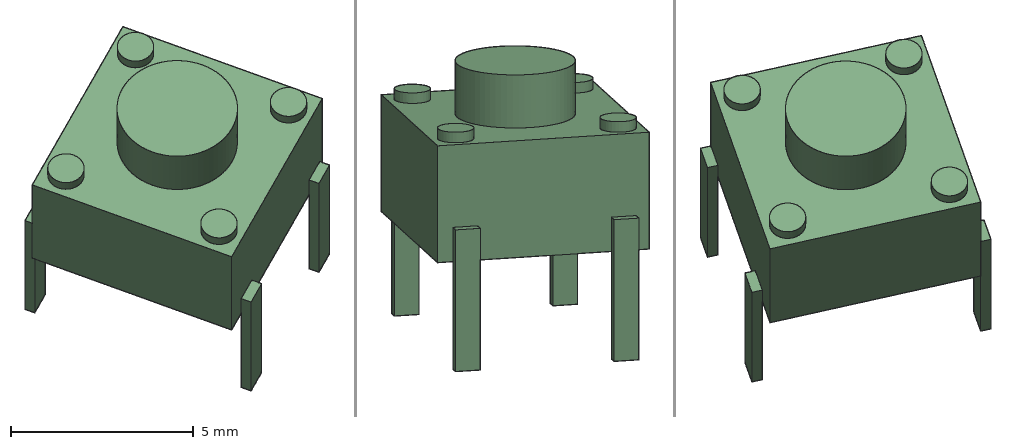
import cadquery as cq


housing_side = 6.0
housing_height = 3.0
cover_thickness = 0.3
cover_top = housing_height + cover_thickness

button_diameter = 3.3
button_height = 1.5
button_sides = 64
stud_diameter = 1.0
stud_height = 0.3
stud_sides = 32
stud_offset = 2.3

leg_span = 6.8
leg_thickness = 0.3
leg_width = 0.7
leg_length = 4.0
leg_drop = 3.0
leg_x = (leg_span - leg_thickness) / 2
leg_y = 2.25

corners = [(-1, -1), (1, -1), (1, 1), (-1, 1)]


def make_slab(thickness, base_z):
    """Square slab over the full housing outline."""
    return (
        cq.Workplane("XY", origin=(0, 0, base_z))
        .rect(housing_side, housing_side)
        .extrude(thickness)
    )


def make_prism(diameter, sides, height, centre_x=0, centre_y=0):
    """Many-sided upright prism standing on the cover."""
    return (
        cq.Workplane("XY", origin=(centre_x, centre_y, cover_top))
        .polygon(sides, diameter)
        .extrude(height)
    )


def make_switch_body():
    """Housing, cover, button and studs as one solid."""
    housing = make_slab(housing_height, 0)
    cover = make_slab(cover_thickness, housing_height)
    body = housing.union(cover, clean=False)
    button = make_prism(button_diameter, button_sides, button_height)
    body = body.union(button, clean=False)
    for sign_x, sign_y in corners:
        stud = make_prism(
            stud_diameter, stud_sides, stud_height, sign_x * stud_offset, sign_y * stud_offset
        )
        body = body.union(stud, clean=False)
    return body.solids()


def make_leg(sign_x, sign_y):
    """Flat upright leg, standing just clear of the housing's side."""
    return (
        cq.Workplane("XY", origin=(sign_x * leg_x, sign_y * leg_y, -leg_drop))
        .rect(leg_thickness, leg_width)
        .extrude(leg_length)
    )


switch_body = make_switch_body()
legs = [make_leg(sign_x, sign_y) for sign_x, sign_y in corners]

result = cq.Compound.makeCompound([switch_body.val(), *[leg.val() for leg in legs]])